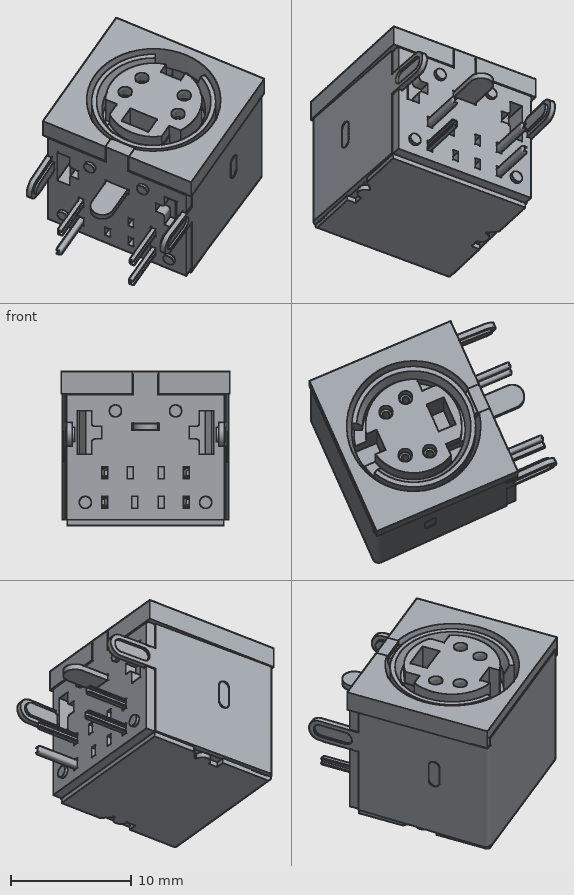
import cadquery as cq
import math


FRAME_WIDTH = 14.0
FRAME_LENGTH = 12.8
FRAME_DEPTH = 1.84
MOUTH_RADIUS = 5.57
BOARD_FACE_Y = -FRAME_LENGTH / 2

SHEET = 0.47
TOTAL_HEIGHT = 12.8
HOUSING_DEPTH = TOTAL_HEIGHT - SHEET
SHELL_BACK_Y = 6.48
SHELL_FRONT_Y = -5.54
SHELL_BACK_HALF = 6.93
SHELL_FRONT_HALF = 6.65
SHELL_CORNER_RADIUS = 0.5
BACK_LIP_HALF = 6.58
BACK_LIP_DEPTH = 0.98
FLOOR_HALF = 6.52
FLOOR_CORNER_RADIUS = 0.45
FLOOR_NOTCH_LENGTH = 3.0
FLOOR_NOTCH_WIDTH = 0.8
FLOOR_NOTCH_SLANT = 0.7
FLOOR_TONGUE_RADIUS = 0.65
LEG_TIP_Y = -10.1
LEG_WIDTH = 2.0
LEG_DEPTH = 5.23
LEG_DENT_LENGTH = 3.52
LEG_DENT_WIDTH = 1.22
LEG_DENT_Y = -7.9
LEG_DENT_OFFSET = 0.22
SIDE_DENT_LENGTH = 2.53
SIDE_DENT_WIDTH = 1.0
SIDE_DENT_Y = 1.43
SIDE_DENT_DEPTH = 6.26
SIDE_DENT_OFFSET = 0.08

RING_RADIUS = 5.15
RING_LIP_RADIUS = 4.75
RING_BORE_RADIUS = 4.28
RING_TOP = 0.22
RING_TAPER_END = 1.2
RING_BOTTOM = 5.0
RING_GAP_HALF_ANGLE = 27.0
TAB_HALF = 1.0
TAB_TIP_Y = -9.93
TAB_TOP = 4.33
TAB_BOTTOM = 4.85
TONGUE_TOP = 0.3
TONGUE_OUTER_Y = -5.36
TONGUE_INNER_Y = -4.9

HOUSING_FRONT_HALF = 6.53
CORE_RADIUS = 4.0
RING_GAP_RADIUS = 4.96
CHANNEL_FLOOR = FRAME_DEPTH * (MOUTH_RADIUS - RING_GAP_RADIUS) / (MOUTH_RADIUS - RING_RADIUS)
KEY_DEPTH = 4.8
KEYWAY_HALF = 0.94
KEYWAY_INNER_Y = 2.95
KEY_HALF = 1.26
KEY_BACK_Y = -1.72
KEY_FRONT_Y = -3.27
SHOULDER_Y = -1.85
SHOULDER_HALF = 2.47
RIB_HALF = 2.53
RIB_TOP = 1.2
STRIP_HALF = 1.12
SEAM_WIDTH = 0.09
SEAM_DEPTH = 0.12
TAB_SLOT_HALF = 1.13
TAB_SLOT_TOP = 4.3
TAB_SLOT_BOTTOM = 4.9
STANDOFF_RADIUS = 0.5
STANDOFF_HEIGHT = 0.27
STANDOFFS = [(2.5, 3.28), (5.0, 10.88)]

POCKET_INNER = 4.48
POCKET_OUTER = 5.65
POCKET_STEM = 3.65
POCKET_TOP = 3.28
POCKET_BOTTOM = 6.88
STEM_TOP = 4.57
STEM_BOTTOM = 5.61
STEM_RADIUS = 0.3
POCKET_FLOOR = 1.0
RAMP_START = 4.95
RAMP_END = 5.52
RAMP_FLOOR = 2.5

LEAD_X = 3.4
LEAD_WIDTH = 0.46
LEAD_HEIGHT = 0.72
LEAD_WEB = 0.2
LEAD_FLANGE = 0.13
LEAD_EDGE_RADIUS = 0.2
LEAD_TIP_RADIUS = 0.25
SLOT_WIDTH = 0.5
SLOT_HEIGHT = 0.98
UPPER_ROW = 8.42
LOWER_ROW = 10.86
EMPTY_SLOT_LENGTH = 1.0
EMPTY_SLOTS = [(-1.28, UPPER_ROW), (1.29, UPPER_ROW), (-0.89, LOWER_ROW), (1.29, LOWER_ROW)]
SOCKET_RADIUS = 0.5
SOCKET_BORE = 0.3
SOCKET_TOP = 1.0
SOCKET_MOUTH_RADIUS = 0.57
SOCKET_MOUTH_DEPTH = 0.3
LINK_LENGTH = 0.4
CONTACTS = [
    (-LEAD_X, UPPER_ROW, -10.23, -2.5, -0.36, 1),
    (LEAD_X, UPPER_ROW, -10.23, 2.5, -0.36, 1),
    (-LEAD_X, LOWER_ROW, -10.35, -2.0, 1.64, -1),
    (LEAD_X, LOWER_ROW, -10.35, 2.0, 1.64, 1),
]


def block(x0, x1, y0, y1, top, bottom):
    """Box between two X, two Y and two depths."""
    return cq.Workplane("XY").box(x1 - x0, y1 - y0, bottom - top, centered=False).translate((x0, y0, -bottom))


def cylinder(radius, top, bottom, x=0.0, y=0.0):
    return cq.Workplane("XY", origin=(x, y, -bottom)).circle(radius).extrude(bottom - top)


def cone(top_radius, bottom_radius, top, bottom, x=0.0, y=0.0):
    profile = [(0, -top), (top_radius, -top), (bottom_radius, -bottom), (0, -bottom)]
    return cq.Workplane("XZ").polyline(profile).close().revolve(360, (0, 0), (0, 1)).translate((x, y, 0))


def prism(points, top, bottom):
    """Vertical prism over an XY outline."""
    return cq.Workplane("XY", origin=(0, 0, -bottom)).polyline(points).close().extrude(bottom - top)


def both_sides(shape):
    return shape.union(shape.mirror("YZ"))


def ring_gap(top, bottom):
    """Wedge on the +Y side that interrupts the shield ring."""
    reach = 2 * RING_RADIUS
    half_width = reach * math.tan(math.radians(RING_GAP_HALF_ANGLE))
    return prism([(0, 0), (half_width, reach), (-half_width, reach)], top, bottom)


def back_lip():
    inner_y = SHELL_BACK_Y - SHEET
    return block(-BACK_LIP_HALF, BACK_LIP_HALF, inner_y, SHELL_BACK_Y, BACK_LIP_DEPTH, FRAME_DEPTH)


def make_frame():
    half = FRAME_WIDTH / 2
    frame = block(-half, half, BOARD_FACE_Y, -BOARD_FACE_Y, 0, FRAME_DEPTH)
    frame = frame.cut(cylinder(RING_RADIUS, 0, FRAME_DEPTH))
    frame = frame.cut(cone(MOUTH_RADIUS, RING_RADIUS, 0, FRAME_DEPTH))
    frame = frame.cut(block(-STRIP_HALF, STRIP_HALF, BOARD_FACE_Y, 0, 0, FRAME_DEPTH))
    return frame.cut(back_lip())


SIDE_SLOPE = (SHELL_BACK_HALF - SHELL_FRONT_HALF) / (SHELL_BACK_Y - SHELL_FRONT_Y)


def side_x(y, inset=0.0):
    """Half width of the slightly splayed shell side at a given Y."""
    return SHELL_FRONT_HALF + SIDE_SLOPE * (y - SHELL_FRONT_Y) - inset


def side_layer(y0, y1, outer_inset, inner_inset, top, bottom):
    """Layer parallel to the +X shell side, between two insets from its outer face."""
    outline = [
        (side_x(y0, outer_inset), y0),
        (side_x(y1, outer_inset), y1),
        (side_x(y1, inner_inset), y1),
        (side_x(y0, inner_inset), y0),
    ]
    return prism(outline, top, bottom)


def side_oval(length_y, length_z, y, depth):
    """Rounded slot shape seen along X, passing through the +X side."""
    oval = cq.Workplane("YZ", origin=(0, y, -depth))
    if length_y > length_z:
        oval = oval.slot2D(length_y, length_z)
    else:
        oval = oval.slot2D(length_z, length_y, 90)
    return oval.extrude(FRAME_WIDTH)


def make_plain_leg():
    overlap = LEG_WIDTH
    leg_back_y = SHELL_FRONT_Y + overlap
    leg_length = leg_back_y - LEG_TIP_Y + LEG_WIDTH / 2
    outline = side_oval(leg_length, LEG_WIDTH, LEG_TIP_Y + leg_length / 2, LEG_DEPTH)
    return side_layer(LEG_TIP_Y, leg_back_y, 0, SHEET, FRAME_DEPTH, HOUSING_DEPTH).intersect(outline)


def make_leg_dent(outer_inset, inner_inset):
    """Oval stiffening dent of the leg, between two insets from its outer face."""
    dent = side_oval(LEG_DENT_LENGTH, LEG_DENT_WIDTH, LEG_DENT_Y, LEG_DEPTH)
    layer = side_layer(LEG_TIP_Y, SHELL_FRONT_Y, outer_inset, inner_inset, FRAME_DEPTH, HOUSING_DEPTH)
    return layer.intersect(dent)


def make_leg():
    leg = make_plain_leg().cut(make_leg_dent(0, LEG_DENT_OFFSET))
    return leg.union(make_leg_dent(SHEET, SHEET + LEG_DENT_OFFSET))


def make_leg_passage():
    """Room for one leg and the bump of its dent."""
    return make_plain_leg().union(make_leg_dent(0, SHEET + LEG_DENT_OFFSET))


def make_floor():
    floor = block(-FLOOR_HALF, FLOOR_HALF, SHELL_FRONT_Y, SHELL_BACK_Y, HOUSING_DEPTH, TOTAL_HEIGHT)
    floor = floor.edges(">Y and <Z").fillet(FLOOR_CORNER_RADIUS)

    half = FLOOR_NOTCH_LENGTH / 2
    inner = FLOOR_HALF - FLOOR_NOTCH_WIDTH
    outline = [(FLOOR_HALF, -half), (inner, FLOOR_NOTCH_SLANT - half), (inner, half), (FLOOR_HALF, half)]
    notch = prism(outline, HOUSING_DEPTH, TOTAL_HEIGHT)
    tongue = cylinder(FLOOR_TONGUE_RADIUS, HOUSING_DEPTH, TOTAL_HEIGHT, inner)
    return floor.cut(both_sides(notch.cut(tongue)))


def make_shell():
    inner_back_y = SHELL_BACK_Y - SHEET
    outer = [
        (SHELL_FRONT_HALF, SHELL_FRONT_Y),
        (SHELL_BACK_HALF, SHELL_BACK_Y),
        (-SHELL_BACK_HALF, SHELL_BACK_Y),
        (-SHELL_FRONT_HALF, SHELL_FRONT_Y),
    ]
    inner = [
        (side_x(SHELL_FRONT_Y, SHEET), SHELL_FRONT_Y),
        (side_x(inner_back_y, SHEET), inner_back_y),
        (-side_x(inner_back_y, SHEET), inner_back_y),
        (-side_x(SHELL_FRONT_Y, SHEET), SHELL_FRONT_Y),
    ]
    shell = prism(outer, FRAME_DEPTH, HOUSING_DEPTH).edges("|Z and >Y").fillet(SHELL_CORNER_RADIUS)
    shell = shell.cut(prism(inner, FRAME_DEPTH, HOUSING_DEPTH))

    dent = side_oval(SIDE_DENT_WIDTH, SIDE_DENT_LENGTH, SIDE_DENT_Y, SIDE_DENT_DEPTH)
    skin = side_layer(SHELL_FRONT_Y, SHELL_BACK_Y, 0, SIDE_DENT_OFFSET, FRAME_DEPTH, HOUSING_DEPTH)
    shell = shell.cut(both_sides(dent.intersect(skin)))
    return shell.union(back_lip()).union(make_floor()).union(both_sides(make_leg()))


def make_ground_tab():
    straight_y = TAB_TIP_Y + TAB_HALF
    tab = block(-TAB_HALF, TAB_HALF, straight_y, TONGUE_INNER_Y, TAB_TOP, TAB_BOTTOM)
    tab = tab.union(cylinder(TAB_HALF, TAB_TOP, TAB_BOTTOM, 0, straight_y))
    return tab.union(block(-TAB_HALF, TAB_HALF, TONGUE_OUTER_Y, TONGUE_INNER_Y, TONGUE_TOP, TAB_BOTTOM))


def make_shield_ring():
    ring = cylinder(RING_RADIUS, RING_TOP, RING_BOTTOM)
    ring = ring.cut(cylinder(RING_BORE_RADIUS, RING_TOP, RING_BOTTOM))
    ring = ring.cut(cone(RING_LIP_RADIUS, RING_BORE_RADIUS, RING_TOP, RING_TAPER_END))
    ring = ring.cut(ring_gap(RING_TOP, RING_BOTTOM))
    return ring.union(make_ground_tab())


def make_link(lead_x, row, socket_x, socket_y):
    """Crosspiece from the inner end of the lead to the foot of the socket."""
    outer_x = lead_x + math.copysign(LEAD_WIDTH / 2, lead_x)
    x0, x1 = sorted((outer_x, socket_x))
    half_length = LINK_LENGTH / 2
    half_height = LEAD_HEIGHT / 2
    return block(x0, x1, socket_y - half_length, socket_y + half_length, row - half_height, row + half_height)


def make_contact(lead_x, row, tip_y, socket_x, socket_y, opening):
    x0 = lead_x - LEAD_WIDTH / 2
    x1 = lead_x + LEAD_WIDTH / 2
    half_height = LEAD_HEIGHT / 2
    lead = block(x0, x1, tip_y, socket_y, row - half_height, row + half_height)
    back_side = "<X" if opening > 0 else ">X"
    lead = lead.edges("|X and <Y").fillet(LEAD_TIP_RADIUS)
    lead = lead.edges("|Y and " + back_side).fillet(LEAD_EDGE_RADIUS)
    channel_half = half_height - LEAD_FLANGE
    groove = block(x0, x1, tip_y, socket_y, row - channel_half, row + channel_half)
    lead = lead.cut(groove.translate((opening * LEAD_WEB, 0, 0)))

    socket = cylinder(SOCKET_RADIUS, SOCKET_TOP, row + half_height, socket_x, socket_y)
    socket = socket.cut(cylinder(SOCKET_BORE, SOCKET_TOP, row - half_height, socket_x, socket_y))
    return lead.union(socket).union(make_link(lead_x, row, socket_x, socket_y))


def lead_slot(x, row, back_y):
    half_width = SLOT_WIDTH / 2
    half_height = SLOT_HEIGHT / 2
    return block(x - half_width, x + half_width, BOARD_FACE_Y, back_y, row - half_height, row + half_height)


def contact_cavity(lead_x, row, socket_x, socket_y):
    """Room for one contact: lead slot, crosspiece and flared socket hole."""
    foot = row + LEAD_HEIGHT / 2
    cavity = lead_slot(lead_x, row, socket_y + LINK_LENGTH / 2)
    cavity = cavity.union(make_link(lead_x, row, socket_x, socket_y))
    cavity = cavity.union(cylinder(SOCKET_RADIUS, 0, foot, socket_x, socket_y))
    return cavity.union(cone(SOCKET_MOUTH_RADIUS, SOCKET_RADIUS, 0, SOCKET_MOUTH_DEPTH, socket_x, socket_y))


def make_core():
    """Round plug face with its shoulders, keyway and key recess."""
    core = cylinder(CORE_RADIUS, 0, RING_BOTTOM)

    filler = cylinder(RING_RADIUS, FRAME_DEPTH, RING_BOTTOM)
    filler = filler.cut(cone(RING_RADIUS, RING_GAP_RADIUS, FRAME_DEPTH, CHANNEL_FLOOR))
    filler = filler.intersect(ring_gap(0, RING_BOTTOM))
    filler = filler.union(cylinder(RING_BORE_RADIUS, CHANNEL_FLOOR, RING_BOTTOM))
    shoulder = block(SHOULDER_HALF, CORE_RADIUS, -CORE_RADIUS, SHOULDER_Y, 0, RING_BOTTOM)
    core = core.cut(both_sides(shoulder)).union(filler)
    rib = block(-RIB_HALF, RIB_HALF, -RING_BORE_RADIUS, SHOULDER_Y, RIB_TOP, RING_BOTTOM)
    core = core.union(rib.intersect(cylinder(RING_BORE_RADIUS, RIB_TOP, RING_BOTTOM)))
    core = core.cut(block(-KEYWAY_HALF, KEYWAY_HALF, KEYWAY_INNER_Y, RING_RADIUS, 0, KEY_DEPTH))
    return core.cut(block(-KEY_HALF, KEY_HALF, KEY_FRONT_Y, KEY_BACK_Y, 0, KEY_DEPTH))


def make_side_pocket():
    floor_y = BOARD_FACE_Y + POCKET_FLOOR
    pocket = block(POCKET_INNER, POCKET_OUTER, BOARD_FACE_Y, floor_y, POCKET_TOP, POCKET_BOTTOM)
    pocket = pocket.union(block(POCKET_STEM, POCKET_INNER, BOARD_FACE_Y, floor_y, STEM_TOP, STEM_BOTTOM))
    corners = cq.selectors.BoxSelector(
        (POCKET_INNER - STEM_RADIUS, BOARD_FACE_Y, -STEM_BOTTOM - STEM_RADIUS),
        (POCKET_INNER + STEM_RADIUS, floor_y, -STEM_TOP + STEM_RADIUS),
    )
    pocket = pocket.edges("|Y").edges(corners).fillet(STEM_RADIUS)
    ramp_y = BOARD_FACE_Y + RAMP_FLOOR
    ramp = [(RAMP_START, floor_y), (POCKET_OUTER, floor_y), (POCKET_OUTER, ramp_y), (RAMP_END, ramp_y)]
    return pocket.union(prism(ramp, POCKET_TOP, POCKET_BOTTOM))


def make_body():
    """Block below the frame, filling the shell and closing its open front."""
    inner_back_y = SHELL_BACK_Y - SHEET
    half_outline = [
        (HOUSING_FRONT_HALF, BOARD_FACE_Y),
        (HOUSING_FRONT_HALF, SHELL_FRONT_Y),
        (side_x(SHELL_FRONT_Y, SHEET), SHELL_FRONT_Y),
        (side_x(inner_back_y, SHEET), inner_back_y),
    ]
    mirrored = [(-x, y) for x, y in reversed(half_outline)]
    return prism(half_outline + mirrored, FRAME_DEPTH, HOUSING_DEPTH)


def make_strip():
    """Strip of the board face that rises through the front of the frame."""
    strip = block(-STRIP_HALF, STRIP_HALF, BOARD_FACE_Y, TONGUE_OUTER_Y, 0, FRAME_DEPTH)
    seam_y = BOARD_FACE_Y + SEAM_DEPTH
    seam = block(STRIP_HALF - SEAM_WIDTH, STRIP_HALF, BOARD_FACE_Y, seam_y, RING_TOP, FRAME_DEPTH)
    return strip.cut(both_sides(seam))


def make_housing():
    housing = make_body().union(make_strip())
    housing = housing.cut(cylinder(RING_RADIUS, 0, RING_BOTTOM)).union(make_core())

    seam_x = STRIP_HALF - SEAM_WIDTH
    seam_y = BOARD_FACE_Y + SEAM_DEPTH
    seam = block(seam_x, SHELL_FRONT_HALF, BOARD_FACE_Y, seam_y, FRAME_DEPTH, FRAME_DEPTH + SEAM_WIDTH)
    housing = housing.cut(both_sides(seam))

    housing = housing.cut(both_sides(make_side_pocket()))
    slot_half = TAB_SLOT_HALF
    tab_slot = block(-slot_half, slot_half, BOARD_FACE_Y, TONGUE_OUTER_Y, TAB_SLOT_TOP, TAB_SLOT_BOTTOM)
    housing = housing.cut(tab_slot).cut(make_ground_tab())
    housing = housing.cut(both_sides(make_leg_passage()))

    for x, row in EMPTY_SLOTS:
        housing = housing.cut(lead_slot(x, row, BOARD_FACE_Y + EMPTY_SLOT_LENGTH))
    for lead_x, row, _, socket_x, socket_y, _ in CONTACTS:
        housing = housing.cut(contact_cavity(lead_x, row, socket_x, socket_y))

    for x, depth in STANDOFFS:
        standoff = cq.Workplane("XZ", origin=(x, BOARD_FACE_Y, -depth)).circle(STANDOFF_RADIUS)
        housing = housing.union(both_sides(standoff.extrude(STANDOFF_HEIGHT)))
    return housing


frame = make_frame()
shell = make_shell()
shield_ring = make_shield_ring()
housing = make_housing()
contacts = [make_contact(*contact) for contact in CONTACTS]

result = cq.Compound.makeCompound(
    [frame.val(), shell.val(), shield_ring.val(), housing.val(), *[contact.val() for contact in contacts]]
)